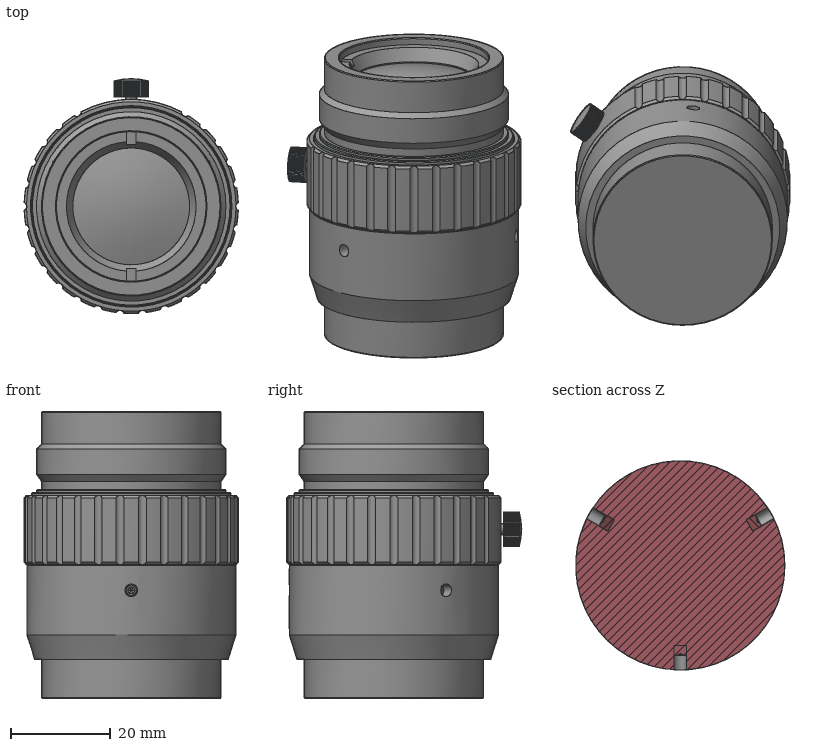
import cadquery as cq
import math

base_top = 7.9
cone_top = 12.8
screw_height = 21.75
grip_bottom = 26.9
barrel_bottom = grip_bottom
thumb_height = 34.0
grip_top = 40.8
housing_top = 41.4
collar_top = 42.0
neck_top = 43.55
bulge_bottom = 45.0
bulge_top = 50.1
bulge_cone_top = 51.1
lens_edge = 53.3
retainer_top = 56.2
total_height = 57.64

barrel_radius = 36.0 / 2
bulge_radius = 38.0 / 2
collar_radius = bulge_radius
sleeve_radius = 20.0
grip_bore_radius = 20.2
housing_radius = 21.0
cone_end_radius = 19.45
grip_radius = 21.5
lens_radius = 23.42 / 2
retainer_radius = 30.0 / 2
retainer_mouth_radius = 26.0 / 2

edge_chamfer = 0.2
grip_chamfer = 0.5

groove_pitch = 12.0
groove_radius = 0.9
groove_offset = housing_radius + groove_radius
plain_half_angle = 24.0
thumb_angle = 90.0

notch_width = 1.85
notch_depth = 1.15
retainer_land = 0.25
lens_sag = 1.7
lens_thickness = 3.0

set_screw_angles = [-90.0, 30.0, 150.0]
set_screw_radius = 2.5 / 2
set_screw_face_radius = 2.05 / 2
set_screw_face = 18.1
set_screw_length = 2.0
set_screw_end = set_screw_face - set_screw_length
socket_across_flats = 1.3
socket_depth = 0.35
socket_taper = 60.0

knob_radius = 3.5
knob_start = 22.0
knob_rim = 25.2
knob_tip = 25.65
knob_teeth = 70
knob_tooth_depth = 0.2
shank_radius = 2.25 / 2


def revolve(points):
    """Turn a closed (radius, height) outline around the Z axis."""
    return cq.Workplane("XZ").polyline(points).close().revolve(360, (0, 0, 0), (0, 1, 0))


def radial_plane(angle, distance, height):
    """Plane facing outward at an angle, at a distance from the Z axis."""
    turn = math.radians(angle)
    outward = (math.cos(turn), math.sin(turn), 0)
    origin = (distance * outward[0], distance * outward[1], height)
    sideways = (-outward[1], outward[0], 0)
    return cq.Workplane(cq.Plane(origin=origin, xDir=sideways, normal=outward))


def make_housing():
    body = revolve([
        (0, 0),
        (barrel_radius - edge_chamfer, 0),
        (barrel_radius, edge_chamfer),
        (barrel_radius, base_top),
        (cone_end_radius, base_top),
        (housing_radius, cone_top),
        (housing_radius, grip_bottom - edge_chamfer),
        (housing_radius - edge_chamfer, grip_bottom),
        (sleeve_radius, grip_bottom),
        (sleeve_radius, housing_top - edge_chamfer),
        (sleeve_radius - edge_chamfer, housing_top),
        (barrel_radius, housing_top),
        (barrel_radius, barrel_bottom),
        (0, barrel_bottom),
    ])
    for angle in set_screw_angles:
        hole = (
            radial_plane(angle, set_screw_end, screw_height)
            .circle(set_screw_radius)
            .extrude(housing_radius - set_screw_end)
        )
        body = body.cut(hole)
    return body


def make_barrel():
    return revolve([
        (0, barrel_bottom),
        (barrel_radius, barrel_bottom),
        (barrel_radius, neck_top),
        (bulge_radius, bulge_bottom),
        (bulge_radius, bulge_top),
        (barrel_radius, bulge_cone_top),
        (barrel_radius, total_height - edge_chamfer),
        (barrel_radius - edge_chamfer, total_height),
        (retainer_radius + edge_chamfer, total_height),
        (retainer_radius, total_height - edge_chamfer),
        (retainer_radius, lens_edge),
        (lens_radius, lens_edge),
        (lens_radius, lens_edge - lens_thickness),
        (0, lens_edge - lens_thickness),
    ])


def make_collar():
    return revolve([
        (barrel_radius, housing_top),
        (collar_radius, housing_top),
        (collar_radius, collar_top - edge_chamfer),
        (collar_radius - edge_chamfer, collar_top),
        (barrel_radius, collar_top),
    ])


def make_grip():
    ring = revolve([
        (grip_bore_radius, grip_bottom),
        (grip_radius - grip_chamfer, grip_bottom),
        (grip_radius, grip_bottom + grip_chamfer),
        (grip_radius, grip_top - grip_chamfer),
        (grip_radius - grip_chamfer, grip_top),
        (grip_bore_radius, grip_top),
    ])
    groove_count = round((360 - 2 * plain_half_angle) / groove_pitch)
    first_groove = thumb_angle + plain_half_angle + groove_pitch / 2
    grooves = (
        cq.Workplane("XY", origin=(0, 0, grip_bottom))
        .polarArray(groove_offset, first_groove, groove_pitch * (groove_count - 1), groove_count, fill=True)
        .circle(groove_radius)
        .extrude(grip_top - grip_bottom)
    )
    shank_hole = (
        radial_plane(thumb_angle, sleeve_radius, thumb_height)
        .circle(shank_radius)
        .extrude(knob_start - sleeve_radius)
    )
    return ring.cut(grooves).cut(shank_hole)


def make_retainer():
    ring = revolve([
        (lens_radius, lens_edge),
        (retainer_radius, lens_edge),
        (retainer_radius, retainer_top),
        (retainer_mouth_radius, retainer_top),
        (lens_radius, lens_edge + retainer_land),
    ])
    slot = (
        cq.Workplane("XY", origin=(0, 0, retainer_top - notch_depth))
        .rect(notch_width, 2 * retainer_radius)
        .extrude(notch_depth)
    )
    return ring.cut(slot)


def make_lens():
    bottom = lens_edge - lens_thickness
    sphere_radius = (lens_radius ** 2 + lens_sag ** 2) / (2 * lens_sag)
    half_turn = math.asin(lens_radius / sphere_radius) / 2
    mid_dome = (
        sphere_radius * math.sin(half_turn),
        lens_edge + lens_sag - sphere_radius * (1 - math.cos(half_turn)),
    )
    return (
        cq.Workplane("XZ")
        .moveTo(0, bottom)
        .lineTo(lens_radius, bottom)
        .lineTo(lens_radius, lens_edge)
        .threePointArc(mid_dome, (0, lens_edge + lens_sag))
        .close()
        .revolve(360, (0, 0, 0), (0, 1, 0))
    )


def make_set_screw(angle):
    face_bevel = set_screw_radius - set_screw_face_radius
    base = radial_plane(angle, set_screw_end, screw_height)
    screw = (
        base
        .circle(set_screw_radius)
        .extrude(set_screw_length)
        .faces(cq.selectors.DirectionMinMaxSelector(base.plane.zDir))
        .chamfer(face_bevel)
    )
    socket_diameter = socket_across_flats / math.cos(math.radians(30))
    socket = (
        radial_plane(angle, set_screw_face, screw_height)
        .polygon(6, socket_diameter)
        .extrude(-socket_depth, taper=socket_taper)
    )
    return screw.cut(socket)


def make_thumb_screw():
    root_radius = knob_radius - knob_tooth_depth
    outline = []
    for step in range(2 * knob_teeth):
        turn = math.pi * step / knob_teeth
        radius = root_radius if step % 2 else knob_radius
        outline.append((radius * math.cos(turn), radius * math.sin(turn)))
    knob = (
        radial_plane(thumb_angle, knob_start, thumb_height)
        .polyline(outline)
        .close()
        .extrude(knob_rim - knob_start)
    )
    dome_height = knob_tip - knob_rim
    dome_radius = (root_radius ** 2 + dome_height ** 2) / (2 * dome_height)
    ball = cq.Workplane("XY", origin=(0, knob_tip - dome_radius, thumb_height)).sphere(dome_radius)
    cap = (
        radial_plane(thumb_angle, knob_rim, thumb_height)
        .circle(knob_radius)
        .extrude(dome_height)
        .intersect(ball)
    )
    shank = (
        radial_plane(thumb_angle, sleeve_radius, thumb_height)
        .circle(shank_radius)
        .extrude(knob_start - sleeve_radius)
    )
    return knob.union(cap).union(shank)


housing = make_housing()
barrel = make_barrel()
collar = make_collar()
grip = make_grip()
retainer = make_retainer()
lens = make_lens()
set_screws = [make_set_screw(angle) for angle in set_screw_angles]
thumb_screw = make_thumb_screw()

result = cq.Compound.makeCompound([
    housing.val(),
    barrel.val(),
    collar.val(),
    grip.val(),
    retainer.val(),
    lens.val(),
    *[screw.val() for screw in set_screws],
    thumb_screw.val(),
])